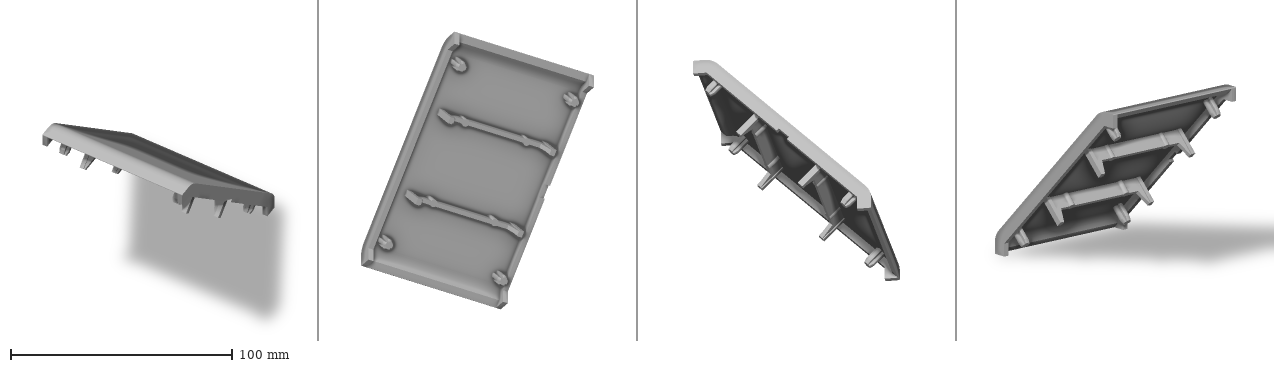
import cadquery as cq
import math


width = 73.6
height = 81.7
half_height = height / 2

flange_flat = 5.1
outer_bend_radius = 9.0
skin = 3.0
lip_edge = 0.4
lip_round = 0.4
wall_depth = 6.5
wall_thickness = 2.5
bend_angle = 45.0
half_bend_tangent = math.tan(math.radians(bend_angle / 2))
bend_corner = flange_flat + outer_bend_radius * half_bend_tangent

notch_length = 6.5
notch_depth = 1.4

rib_offset = 20.0
rib_half_span = 28.0
leg_length = 13.8
leg_width = 2.05
leg_thickness = 3.0
bar_thickness = 2.0
bar_length = 6.7
gusset_top = 5.0
gusset_tip = 2.5
column_diameter = 3.5
column_x = 16.2
column_shift = column_diameter / 2 - leg_thickness / 2

pin_offset = 43.9
pin_x = 30.3
pin_inset_x = 29.2
pin_length = 9.0
pin_taper = 2.05
pin_radius = 2.5
pin_tip_radius = 1.9
pin_blade = 2.0

embed = 0.4


def bend_points(depth):
    """Sharp upper and lower bend corners (Y, Z) of the profile lying `depth` under the outside."""
    along = bend_corner - depth * half_bend_tangent
    across = height - depth
    upper = (along - half_height, across)
    lower = (across - half_height, along)
    return upper, lower


def extrude_across(points, length):
    """Extrude a closed (Y, Z) outline by `length`, centred on X = 0."""
    return cq.Workplane("YZ").polyline(points).close().extrude(length / 2, both=True)


def edges_near(first, second):
    """Selector for the two edges along X that pass closest to the given (Y, Z) points."""
    nearest = cq.selectors.NearestToPointSelector
    return nearest((0, *first)) + nearest((0, *second))


def make_shell():
    outer_upper, outer_lower = bend_points(0)
    rim_upper, rim_lower = bend_points(wall_depth)
    body = extrude_across(
        [
            (-half_height, height),
            outer_upper,
            outer_lower,
            (half_height, 0),
            (half_height - wall_depth, 0),
            rim_lower,
            rim_upper,
            (-half_height, height - wall_depth),
        ],
        width,
    )
    body = body.edges(edges_near(outer_upper, outer_lower)).fillet(outer_bend_radius)
    body = body.edges(edges_near((-half_height, height), (half_height, 0))).fillet(lip_round)

    inner_upper, inner_lower = bend_points(skin)
    bevel = skin - lip_edge
    cavity = extrude_across(
        [
            (-half_height, height - lip_edge),
            (bevel - half_height, height - skin),
            inner_upper,
            inner_lower,
            (half_height - skin, bevel),
            (half_height - lip_edge, 0),
            (-half_height, 0),
        ],
        width - 2 * wall_thickness,
    )
    cavity = cavity.edges(edges_near(inner_upper, inner_lower)).fillet(outer_bend_radius - skin)
    return body.cut(cavity)


underside_middle = (bend_corner + height) / 2 - skin / math.sqrt(2)
slope_plane = cq.Plane(
    origin=(0, underside_middle - half_height, underside_middle),
    xDir=(1, 0, 0),
    normal=(0, -1, -1),
)


def slope_box(size_x, size_y, size_z, x=0, y=0, z=0):
    """Box in the slope frame, centred on x and y and rising from z."""
    box = cq.Workplane(slope_plane).workplane(offset=z).center(x, y)
    return box.rect(size_x, size_y).extrude(size_z)


def make_notch():
    rim = wall_depth - skin
    return slope_box(
        wall_thickness, notch_length, notch_depth,
        x=width / 2 - wall_thickness / 2,
        z=rim - notch_depth,
    )


def make_rib(y, shift):
    """Bar with two long gusseted legs; its round columns are shifted by `shift` along the slope."""
    outline = [
        (-rib_half_span, -embed),
        (-rib_half_span, leg_length),
        (gusset_tip - rib_half_span, leg_length),
        (gusset_top - rib_half_span, bar_length),
        (rib_half_span - gusset_top, bar_length),
        (rib_half_span - gusset_tip, leg_length),
        (rib_half_span, leg_length),
        (rib_half_span, -embed),
    ]
    rib_plane = cq.Plane(
        origin=slope_plane.toWorldCoords((0, y, 0)),
        xDir=slope_plane.xDir,
        normal=-slope_plane.yDir,
    )
    rib = cq.Workplane(rib_plane).polyline(outline).close().extrude(bar_thickness / 2, both=True)
    for side in (-1, 1):
        leg_x = side * (rib_half_span - leg_width / 2)
        rib = rib.union(slope_box(leg_width, leg_thickness, leg_length + embed, leg_x, y, -embed))
        column = cq.Workplane(slope_plane).workplane(offset=-embed).center(side * column_x, y + shift)
        rib = rib.union(column.circle(column_diameter / 2).extrude(bar_length + embed))
    return rib


def make_pin(x, y):
    """Cross-shaped pin with a conical tip."""
    half_profile = [
        (0, -embed),
        (pin_radius, -embed),
        (pin_radius, pin_length - pin_taper),
        (pin_tip_radius, pin_length),
        (0, pin_length),
    ]
    axis_plane = cq.Plane(
        origin=slope_plane.toWorldCoords((x, y, 0)),
        xDir=slope_plane.xDir,
        normal=-slope_plane.yDir,
    )
    pin = cq.Workplane(axis_plane).polyline(half_profile).close().revolve(360, (0, 0), (0, 1))
    blade_span = 2 * pin_radius
    total = pin_length + embed
    cross = slope_box(blade_span, pin_blade, total, x, y, -embed)
    cross = cross.union(slope_box(pin_blade, blade_span, total, x, y, -embed))
    return pin.intersect(cross)


result = make_shell().cut(make_notch())
for end in (-1, 1):
    result = result.union(make_rib(end * rib_offset, -end * column_shift))
pin_places = [
    (-pin_x, -pin_offset),
    (pin_x, -pin_offset),
    (-pin_inset_x, pin_offset),
    (pin_x, pin_offset),
]
for x, y in pin_places:
    result = result.union(make_pin(x, y))